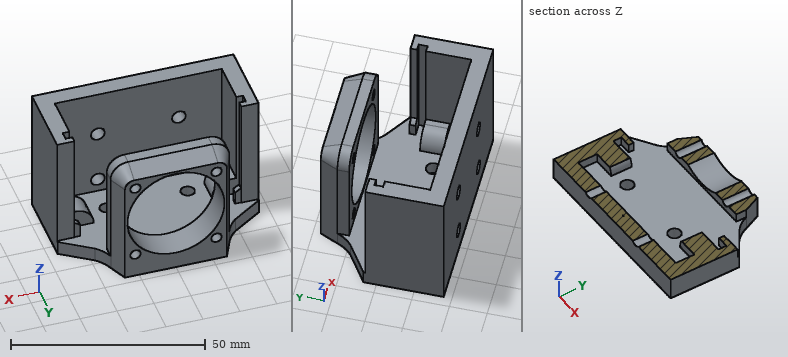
import cadquery as cq
import math

width = 54.6
height = 36.0
wall = 4.7
floor_thickness = 4.0
side_depth = 20.8
center_x = width / 2

groove_front = 16.7
groove_back = 19.05
groove_depth = 1.8

support_flat = 1.65
support_radius = 4.95
support_front = 10.4
lip_back = 20.7

mount_width = 32.2
mount_top = 34.05
mount_front = 27.75
mount_taper_start = 30.85
mount_back = 35.8
mount_taper = 2.3
mount_corner_radius = 4.75
mount_center_z = mount_top - mount_width / 2
fan_bore_diameter = 26.25
fan_screw_diameter = 2.8

flare_start = 21.25
flare_angle = 33.6
flare_blend_depth = 26.7
flare_radius = 10.0

screw_diameter = 3.7
screw_spacing = 21.95
screw_columns = [center_x - screw_spacing / 2, center_x + screw_spacing / 2]
wall_screw_heights = [7.8, 22.9]
floor_screw_depth = 12.0


def box(x0, x1, y0, y1, z0, z1):
    """Axis-aligned box between two opposite corners."""
    return cq.Workplane("XY").box(x1 - x0, y1 - y0, z1 - z0, centered=False).translate((x0, y0, z0))


def mirrored_pair(left):
    """Left-hand shape together with its mirror image about the middle of the part."""
    return left.union(left.mirror("YZ", (center_x, 0, 0)))


def bore_along_y(diameter, x, z, y0, y1):
    """Cylinder parallel to Y."""
    return cq.Workplane("XZ", origin=(x, y0, z)).circle(diameter / 2).extrude(y0 - y1)


def make_floor():
    mount_left = center_x - mount_width / 2
    mount_right = center_x + mount_width / 2
    blend_x = (flare_blend_depth - flare_start) / math.tan(math.radians(flare_angle))
    return (
        cq.Workplane("XY")
        .lineTo(width, 0)
        .lineTo(width, flare_start)
        .lineTo(width - blend_x, flare_blend_depth)
        .radiusArc((mount_right, mount_taper_start), flare_radius)
        .lineTo(mount_left, mount_taper_start)
        .radiusArc((blend_x, flare_blend_depth), flare_radius)
        .lineTo(0, flare_start)
        .close()
        .extrude(floor_thickness)
    )


def make_walls():
    front = box(0, width, 0, wall, 0, height)
    side = box(0, wall, 0, side_depth, 0, height)
    groove = box(wall - groove_depth, wall, groove_front, groove_back, floor_thickness, height)
    return front.union(mirrored_pair(side.cut(groove)))


def make_support(y0, y1, crest, reach):
    """Block beside the left wall, its top flat up to x = crest and then rounding down to the floor.

    Only the stretch from the wall face to x = reach is kept.
    """
    support_top = floor_thickness + support_radius
    profile = (
        cq.Workplane("XZ", origin=(0, y0, 0))
        .moveTo(0, floor_thickness)
        .lineTo(0, support_top)
        .lineTo(crest, support_top)
        .radiusArc((crest + support_radius, floor_thickness), support_radius)
        .close()
        .extrude(y0 - y1)
    )
    return profile.intersect(box(wall, reach, y0, y1, 0, height))


def mount_outline(y, inset):
    """Closed round-topped outline of the mount at depth y, its sides and top moved in by inset."""
    half = mount_width / 2 - inset
    top = mount_top - inset
    radius = mount_corner_radius - inset
    shoulder = top - radius
    diagonal = radius * (1 - math.sqrt(0.5))
    return (
        cq.Workplane("XZ", origin=(center_x, y, 0))
        .moveTo(-half, 0)
        .lineTo(-half, shoulder)
        .threePointArc((-half + diagonal, top - diagonal), (-half + radius, top))
        .lineTo(half - radius, top)
        .threePointArc((half - diagonal, top - diagonal), (half, shoulder))
        .lineTo(half, 0)
        .close()
    )


def make_mount():
    plate = mount_outline(mount_front, 0).extrude(mount_front - mount_taper_start)
    front_wire = mount_outline(mount_taper_start, 0).val()
    back_wire = mount_outline(mount_back, mount_taper).val()
    tapered_back = cq.Workplane(cq.Solid.makeLoft([front_wire, back_wire], True))
    return plate.union(tapered_back)


def cut_holes(body):
    body = body.cut(bore_along_y(fan_bore_diameter, center_x, mount_center_z, mount_front, mount_back))
    fan_screw_heights = [mount_center_z - screw_spacing / 2, mount_center_z + screw_spacing / 2]
    for x in screw_columns:
        for z in wall_screw_heights:
            body = body.cut(bore_along_y(screw_diameter, x, z, 0, wall))
        for z in fan_screw_heights:
            body = body.cut(bore_along_y(fan_screw_diameter, x, z, mount_front, mount_back))
        floor_hole = cq.Workplane("XY", origin=(x, floor_screw_depth, 0)).circle(screw_diameter / 2)
        body = body.cut(floor_hole.extrude(floor_thickness))
    return body


support_crest = wall + support_flat
lip_crest = wall - groove_depth
support = make_support(support_front, groove_front, support_crest, support_crest + support_radius)
lip = make_support(groove_back, lip_back, lip_crest, support_crest)
tray = make_floor().union(make_walls()).union(mirrored_pair(support)).union(mirrored_pair(lip))
result = cut_holes(tray.union(make_mount()))